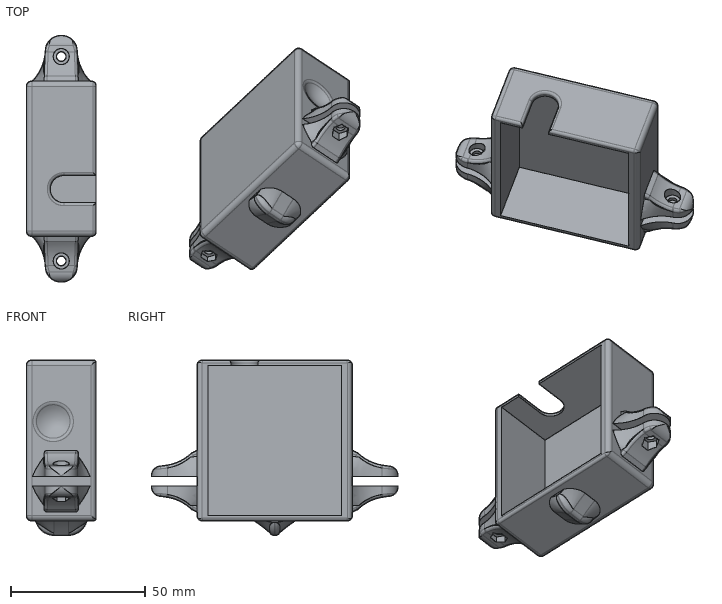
import cadquery as cq
import math

box_x = 26.0
box_y = 58.0
box_z = 60.0
total_y = 92.0
total_z = 65.4
edge_radius = 2.0

front_wall = 2.0
side_wall = 4.05
end_wall = 2.0
side_rim_radius = 1.8
end_rim_radius = 1.1

slot_width = 10.1
slot_center_x = 14.0
slot_center_y = -11.3

dimple_x = 10.0
dimple_z = 37.1
dimple_sphere_radius = 10.0
dimple_ring_radius = 6.3
dimple_rim_radius = 2.0

clamp_gap = 3.5
clamp_z = 14.8
lug_tip_radius = 6.0
lug_root_half_width = 6.4
lug_tip_height = 4.0
lug_tip_rounding = 3.8
lug_arc_start = 6.3
lug_arc_middle = 10.6
lug_arc_end = 15.1
lug_arc_start_height = 4.3
lug_arc_middle_height = 5.7
lug_arc_end_height = 8.8
lug_root_height = 10.4
lug_edge_radius = 1.1
lug_overlap = 1.4

flare_half_width = 10.8
flare_waist_half_width = 8.8
flare_top_half_width = 6.1
flare_waist_height = 3.9
flare_top_height = 7.8
flare_sag = 0.8
flare_drop = 1.1

screw_hole_diameter = 3.5
head_diameter = 6.0
nut_corner_diameter = 6.4
screw_from_tip = 7.9
screw_floor = 1.5

foot_height = total_z - box_z
foot_half_length = 9.6
foot_half_straight = 2.7
foot_root_half_width = 7.6
foot_shoulder_x = 7.0
foot_shoulder_depth = 3.9
foot_blade_half_width = 2.0
foot_blade_edge_radius = 1.9
foot_crest_half_width = 1.2
foot_crest_depth = 5.0
foot_flank_sag = 0.3
foot_overlap = 0.9

margin = 0.9

center_x = box_x / 2
face_y = box_y / 2
tip_y = total_y / 2
tip_center_y = tip_y - lug_tip_radius
root_y = face_y - lug_overlap


def make_shell():
    """Rounded box with the cable slot, hollow and open on the +X side."""
    shell = cq.Workplane("XY").box(box_x, box_y, box_z, centered=(False, True, False))
    shell = shell.edges("not >X").fillet(edge_radius)
    cavity = (
        cq.Workplane("XY", origin=(front_wall, 0, end_wall))
        .rect(box_x, box_y - 2 * side_wall, centered=(False, True))
        .extrude(box_z - 2 * end_wall)
    )
    shell = shell.cut(cavity).cut(make_slot())

    slot_region = cq.selectors.BoxSelector(
        (slot_center_x - slot_width, slot_center_y - slot_width, box_z - end_wall / 2),
        (box_x + margin, slot_center_y + slot_width, box_z + margin),
    )
    top_edges = shell.faces(">Z").edges()
    rim_edges = top_edges.edges(slot_region).add(top_edges.edges(">X"))
    shell = shell.newObject(rim_edges.vals()).fillet(end_rim_radius)

    side_rounding = (
        cq.Workplane("XY")
        .box(box_x, box_y, box_z, centered=(False, True, False))
        .edges("|Z and >X")
        .fillet(side_rim_radius)
    )
    return shell.intersect(side_rounding)


def make_slot():
    """Round-ended slot that runs out through the +X side."""
    half_width = slot_width / 2
    return (
        cq.Workplane("XY", origin=(slot_center_x, slot_center_y, box_z - end_wall))
        .moveTo(box_x, -half_width)
        .lineTo(0, -half_width)
        .threePointArc((-half_width, 0), (0, half_width))
        .lineTo(box_x, half_width)
        .close()
        .extrude(end_wall)
    )


def make_dimple():
    """Spherical hollow whose rim blends into the -Y face, turned about an axis along Y."""
    ring_angle = math.asin(dimple_ring_radius / dimple_sphere_radius)
    half_angle = ring_angle / 2
    ring_depth = dimple_rim_radius * (1 - math.cos(ring_angle))
    outer_radius = dimple_ring_radius + dimple_rim_radius * math.sin(ring_angle)
    bottom_depth = ring_depth + dimple_sphere_radius * (1 - math.cos(ring_angle))
    rim_middle = (
        outer_radius - dimple_rim_radius * math.sin(half_angle),
        dimple_rim_radius * (1 - math.cos(half_angle)),
    )
    bowl_middle = (
        dimple_sphere_radius * math.sin(half_angle),
        bottom_depth - dimple_sphere_radius * (1 - math.cos(half_angle)),
    )
    return (
        cq.Workplane("XY", origin=(dimple_x, -face_y, dimple_z))
        .moveTo(0, 0)
        .lineTo(outer_radius, 0)
        .threePointArc(rim_middle, (dimple_ring_radius, ring_depth))
        .threePointArc(bowl_middle, (0, bottom_depth))
        .close()
        .revolve(360, (0, 0, 0), (0, 1, 0))
    )


def lug_side_prism(tip_rounding, drop=0):
    """Side outline of a lug above the clamping face, lowered by drop, wide enough for the flares."""
    outline = (
        cq.Workplane("YZ", origin=(-flare_half_width, 0, -drop))
        .moveTo(tip_y, 0)
        .lineTo(root_y, 0)
        .lineTo(root_y, lug_root_height)
        .lineTo(tip_y - lug_arc_end, lug_arc_end_height)
        .threePointArc(
            (tip_y - lug_arc_middle, lug_arc_middle_height),
            (tip_y - lug_arc_start, lug_arc_start_height),
        )
        .lineTo(tip_y - lug_tip_rounding, lug_tip_height)
    )
    if tip_rounding:
        diagonal = lug_tip_rounding * math.sqrt(0.5)
        wall_height = lug_tip_height - lug_tip_rounding
        rounding_middle = (tip_y - lug_tip_rounding + diagonal, wall_height + diagonal)
        outline = outline.threePointArc(rounding_middle, (tip_y, wall_height))
    else:
        outline = outline.lineTo(tip_y, lug_tip_height)
    return outline.close().extrude(2 * flare_half_width)


def make_lug_core():
    """Round-ended tongue with rounded upper edges and a nose rounded down to the clamping face."""
    core = (
        cq.Workplane("XY")
        .moveTo(-lug_root_half_width, root_y)
        .lineTo(lug_root_half_width, root_y)
        .lineTo(lug_tip_radius, tip_center_y)
        .threePointArc((0, tip_y), (-lug_tip_radius, tip_center_y))
        .close()
        .extrude(lug_root_height)
        .intersect(lug_side_prism(tip_rounding=False))
    )
    upper_region = cq.selectors.BoxSelector(
        (-lug_root_half_width - margin, root_y, lug_tip_height / 2),
        (lug_root_half_width + margin, tip_y + margin, lug_root_height + margin),
    )
    core = core.edges(upper_region).edges("not |X").edges("not |Z").fillet(lug_edge_radius)
    return core.intersect(lug_side_prism(tip_rounding=True))


def make_flare():
    """Hollow-sided skirt of a lug that narrows smoothly from the clamping face upwards."""
    sections = (
        (0, flare_half_width),
        (flare_waist_height, flare_waist_half_width),
        (flare_top_height, flare_top_half_width),
    )
    flare = cq.Workplane("XY")
    height_below = 0
    for height, half_width in sections:
        sag = flare_sag * (half_width - lug_tip_radius) / (flare_half_width - lug_tip_radius)
        middle_x = (lug_tip_radius + half_width) / 2 - sag
        middle_y = (tip_center_y + face_y) / 2 - sag
        flare = (
            flare.workplane(offset=height - height_below)
            .moveTo(-half_width, root_y)
            .lineTo(half_width, root_y)
            .lineTo(half_width, face_y)
            .threePointArc((middle_x, middle_y), (lug_tip_radius, tip_center_y))
            .threePointArc((0, tip_y), (-lug_tip_radius, tip_center_y))
            .threePointArc((-middle_x, middle_y), (-half_width, face_y))
            .close()
        )
        height_below = height
    return flare.loft().intersect(lug_side_prism(tip_rounding=True, drop=flare_drop))


def make_lug_half():
    """Upper half of the +Y lug, its clamping face at Z = 0."""
    return make_lug_core().union(make_flare())


def make_screw_passage(upper):
    """Through hole with a round head recess in the upper half or a nut recess in the lower half."""
    start = cq.Workplane("XY", origin=(0, tip_y - screw_from_tip, 0))
    hole = start.circle(screw_hole_diameter / 2).extrude(lug_root_height)
    recess = start.workplane(offset=screw_floor)
    if upper:
        recess = recess.circle(head_diameter / 2)
    else:
        recess = recess.polygon(6, nut_corner_diameter)
    return hole.union(recess.extrude(lug_root_height))


def make_lugs():
    """Both pairs of lugs, each split by the clamping gap."""
    half = make_lug_half()
    upper = half.cut(make_screw_passage(upper=True)).translate((0, 0, clamp_gap / 2))
    lower = half.cut(make_screw_passage(upper=False)).mirror("XY").translate((0, 0, -clamp_gap / 2))
    lugs = []
    for lug in (upper, lower):
        lugs.append(lug.translate((center_x, 0, clamp_z)))
        lugs.append(lug.mirror("XZ").translate((center_x, 0, clamp_z)))
    return lugs


def foot_flank_outline(plane, origin):
    """Half cross-section of the ridge, from its middle out to the flank."""
    flank_middle_x = (foot_root_half_width + foot_crest_half_width) / 2 - foot_flank_sag
    return (
        cq.Workplane(plane, origin=origin)
        .moveTo(0, foot_overlap)
        .lineTo(foot_root_half_width, foot_overlap)
        .lineTo(foot_root_half_width, 0)
        .threePointArc(
            (flank_middle_x, -foot_crest_depth / 2),
            (foot_crest_half_width, -foot_crest_depth),
        )
        .lineTo(0, -foot_crest_depth)
        .close()
    )


def foot_prism(half_width):
    """Outline of the foot along X, extruded evenly to both sides of Y = 0."""
    return (
        cq.Workplane("XZ", origin=(0, half_width, 0))
        .moveTo(foot_half_length, foot_overlap)
        .lineTo(foot_half_length, 0)
        .threePointArc((foot_shoulder_x, -foot_shoulder_depth), (foot_half_straight, -foot_height))
        .lineTo(-foot_half_straight, -foot_height)
        .threePointArc((-foot_shoulder_x, -foot_shoulder_depth), (-foot_half_length, 0))
        .lineTo(-foot_half_length, foot_overlap)
        .close()
        .extrude(2 * half_width)
    )


def make_foot():
    """Ridge with hollow flanks and turned ends, joined to a thin rounded blade along X."""
    ridge = foot_flank_outline("YZ", (-foot_half_straight, 0, 0)).extrude(2 * foot_half_straight)
    ridge = ridge.union(ridge.mirror("XZ"))
    for end_x in (-foot_half_straight, foot_half_straight):
        turned_end = foot_flank_outline("XZ", (end_x, 0, 0)).revolve(360, (0, 0, 0), (0, 1, 0))
        ridge = ridge.union(turned_end)
    ridge = ridge.intersect(foot_prism(foot_root_half_width))

    lower_region = cq.selectors.BoxSelector(
        (-foot_half_length, -foot_root_half_width, -foot_height - margin),
        (foot_half_length, foot_root_half_width, 0),
    )
    blade = foot_prism(foot_blade_half_width)
    blade = blade.edges(lower_region).edges("not |Y").fillet(foot_blade_edge_radius)
    return ridge.union(blade).translate((center_x, 0, 0))


result = make_shell().cut(make_dimple()).union(make_foot())
for lug in make_lugs():
    result = result.union(lug)